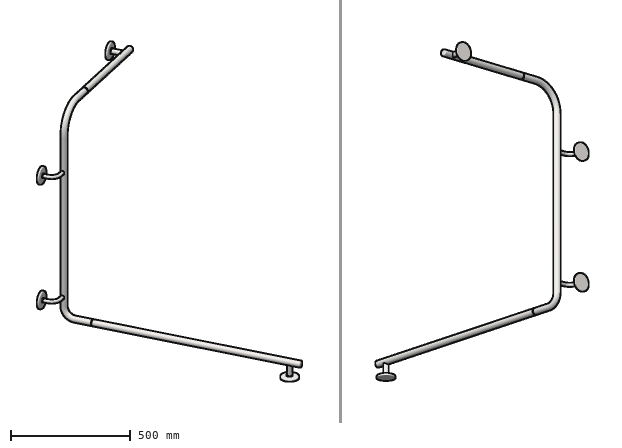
import cadquery as cq

rail_diameter = 31.0
lower_leg_end_x = 1092.0
upper_leg_end_y = 655.0
upright_height = 957.0
lower_bend_radius = 50.0
upper_bend_radius = 120.0
end_rounding = 6.0

lower_joint_from_bend = 82.0
upper_joint_from_bend = 83.0
joint_width = 2.0
joint_depth = 1.0

flange_diameter = 80.0
flange_thickness = 12.0
flange_rounding = 6.0
flange_wall_rounding = 1.0
collar_margin = 1.0
collar_height = 2.0
wall_distance = 73.0

straight_post_diameter = 25.0
post_to_rail_end = 54.0

bent_post_diameter = 19.0
bent_post_bend_radius = 38.0
bent_post_axis_x = -1.0
bent_post_reach = 75.0
bent_post_heights = (97.0, 671.0)


def bar_along(path, diameter, start, direction):
    """Round bar swept along a path that leaves the start point in the given direction."""
    section = cq.Workplane(cq.Plane(origin=start, normal=direction)).circle(diameter / 2)
    return section.sweep(path)


def make_rail():
    """Lower leg along X, upright along Z and upper leg along Y, joined by two bends."""
    upper_bend_start = upright_height - upper_bend_radius
    lower_path = (
        cq.Workplane("XZ")
        .moveTo(lower_leg_end_x, 0)
        .lineTo(lower_bend_radius, 0)
        .tangentArcPoint((0, lower_bend_radius), relative=False)
        .lineTo(0, upper_bend_start)
    )
    upper_path = (
        cq.Workplane("YZ")
        .moveTo(upper_leg_end_y, upright_height)
        .lineTo(upper_bend_radius, upright_height)
        .tangentArcPoint((0, upper_bend_start), relative=False)
    )
    lower_end = (lower_leg_end_x, 0, 0)
    upper_end = (0, upper_leg_end_y, upright_height)
    lower_part = bar_along(lower_path, rail_diameter, lower_end, (-1, 0, 0))
    upper_part = bar_along(upper_path, rail_diameter, upper_end, (0, -1, 0))
    lower_part = lower_part.faces(">X").edges().fillet(end_rounding)
    upper_part = upper_part.faces(">Y").edges().fillet(end_rounding)
    return lower_part.union(upper_part)


def make_joint_groove(centre, direction):
    """Thin ring that cuts a joint groove around the rail, centred on a point of its axis."""
    return (
        cq.Workplane(cq.Plane(origin=centre, normal=direction))
        .circle(rail_diameter / 2 + joint_depth)
        .circle(rail_diameter / 2 - joint_depth)
        .extrude(joint_width / 2, both=True)
    )


def make_flange(wall_centre, direction, post_diameter):
    """Round flange with rounded rims and a thin collar where its post stands."""
    wall_plane = cq.Plane(origin=wall_centre, normal=direction)
    axis = cq.Vector(*direction)
    disc = (
        cq.Workplane(wall_plane)
        .circle(flange_diameter / 2)
        .extrude(flange_thickness)
        .edges(cq.selectors.DirectionMinMaxSelector(axis))
        .fillet(flange_rounding)
        .edges(cq.selectors.DirectionMinMaxSelector(axis, directionMax=False))
        .fillet(flange_wall_rounding)
    )
    collar = (
        cq.Workplane(wall_plane)
        .circle(post_diameter / 2 + collar_margin)
        .extrude(flange_thickness + collar_height)
    )
    return disc.union(collar)


def make_straight_support(wall_centre, direction):
    """Flange with a straight post that reaches the rail axis."""
    post = (
        cq.Workplane(cq.Plane(origin=wall_centre, normal=direction))
        .circle(straight_post_diameter / 2)
        .extrude(wall_distance)
    )
    return make_flange(wall_centre, direction, straight_post_diameter).union(post)


def make_bent_support(height):
    """Flange with a post that leaves the wall along X and turns to meet the upright along Y."""
    wall_centre = (-wall_distance, -bent_post_reach, height)
    path = (
        cq.Workplane("XY", origin=(0, 0, height))
        .moveTo(-wall_distance, -bent_post_reach)
        .lineTo(bent_post_axis_x - bent_post_bend_radius, -bent_post_reach)
        .tangentArcPoint((bent_post_axis_x, bent_post_bend_radius - bent_post_reach), relative=False)
        .lineTo(bent_post_axis_x, 0)
    )
    post = bar_along(path, bent_post_diameter, wall_centre, (1, 0, 0))
    return make_flange(wall_centre, (1, 0, 0), bent_post_diameter).union(post)


lower_leg_support = make_straight_support(
    (lower_leg_end_x - post_to_rail_end, 0, -wall_distance), (0, 0, 1)
)
upper_leg_support = make_straight_support(
    (-wall_distance, upper_leg_end_y - post_to_rail_end, upright_height), (1, 0, 0)
)

lower_joint = make_joint_groove((lower_bend_radius + lower_joint_from_bend, 0, 0), (1, 0, 0))
upper_joint = make_joint_groove(
    (0, upper_bend_radius + upper_joint_from_bend, upright_height), (0, 1, 0)
)

result = make_rail().cut(lower_joint).cut(upper_joint)
result = result.union(lower_leg_support).union(upper_leg_support)
for post_height in bent_post_heights:
    result = result.union(make_bent_support(post_height))